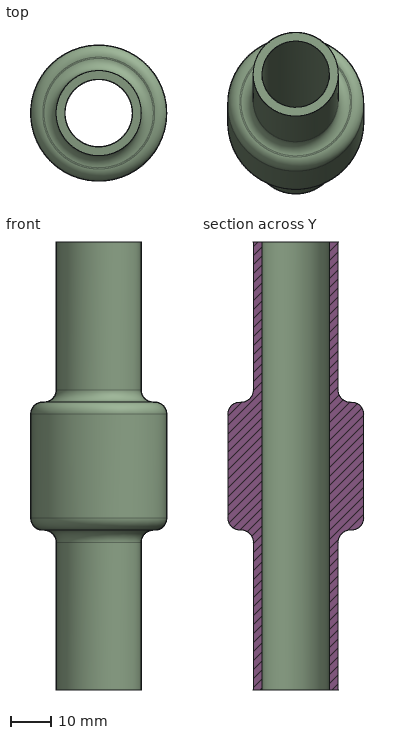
import cadquery as cq

total_length = 112.0
body_diameter = 34.0
pipe_diameter = 21.3
bore_diameter = 16.8

body_length = 32.0
rim_radius = 3.0
neck_radius = 3.0

body_radius = body_diameter / 2
pipe_radius = pipe_diameter / 2
bore_radius = bore_diameter / 2
end_height = total_length / 2
shoulder_height = body_length / 2

wall_section = (
    cq.Workplane("XZ")
    .moveTo(bore_radius, -end_height)
    .lineTo(pipe_radius, -end_height)
    .lineTo(pipe_radius, -shoulder_height - neck_radius)
    .tangentArcPoint((neck_radius, neck_radius))
    .lineTo(body_radius - rim_radius, -shoulder_height)
    .tangentArcPoint((rim_radius, rim_radius))
    .lineTo(body_radius, shoulder_height - rim_radius)
    .tangentArcPoint((-rim_radius, rim_radius))
    .lineTo(pipe_radius + neck_radius, shoulder_height)
    .tangentArcPoint((-neck_radius, neck_radius))
    .lineTo(pipe_radius, end_height)
    .lineTo(bore_radius, end_height)
    .close()
)

result = wall_section.revolve(360, (0, 0, 0), (0, 1, 0))